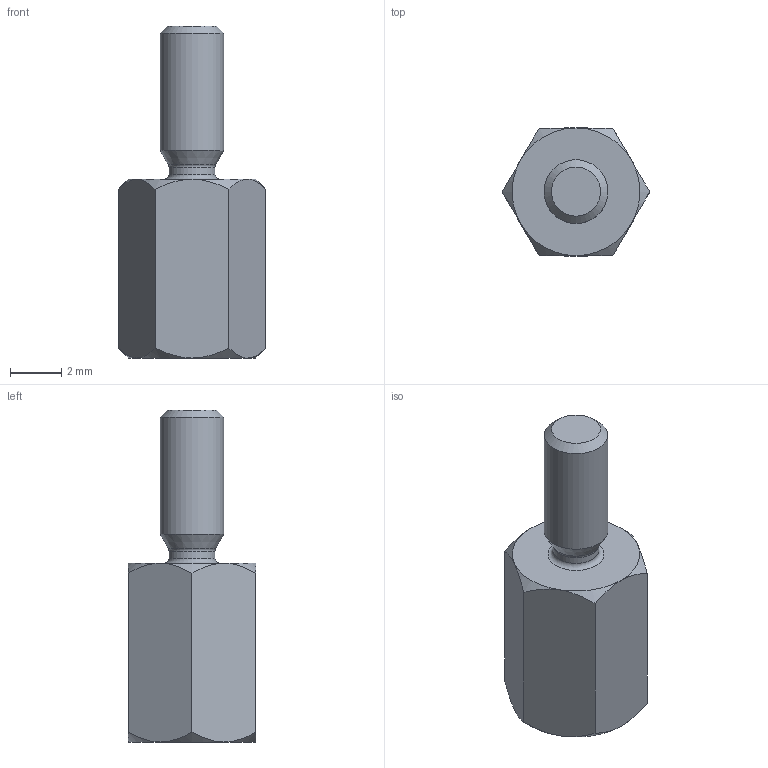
import cadquery as cq
import math


across_flats = 5.0
body_height = 7.0
side_count = 6
across_corners = across_flats / math.cos(math.pi / side_count)
flat_radius = across_flats / 2
corner_radius = across_corners / 2
corner_chamfer = corner_radius - flat_radius

stud_diameter = 2.5
stud_radius = stud_diameter / 2
stud_length = 6.0
tip_chamfer = 0.29
total_height = body_height + stud_length

undercut_diameter = 1.8
undercut_radius = undercut_diameter / 2
undercut_length = 1.125
undercut_fillet = 0.2
taper_angle = math.radians(30)
taper_height = (stud_radius - undercut_radius) / math.tan(taper_angle)


def hex_body():
    """Hexagonal prism with corners on the X axis, both ends turned down to the flats."""
    prism = cq.Workplane("XY").polygon(side_count, across_corners).extrude(body_height)
    turned_envelope = (
        cq.Workplane("XZ")
        .moveTo(0, 0)
        .lineTo(flat_radius, 0)
        .lineTo(corner_radius, corner_chamfer)
        .lineTo(corner_radius, body_height - corner_chamfer)
        .lineTo(flat_radius, body_height)
        .lineTo(0, body_height)
        .close()
        .revolve(360, (0, 0, 0), (0, 1, 0))
    )
    return prism.intersect(turned_envelope)


def stud():
    """Turned stud: filleted root, undercut neck, taper out to full diameter, chamfered tip."""
    root_radius = undercut_radius + undercut_fillet

    taper_top = body_height + undercut_length
    taper_bottom = taper_top - taper_height

    tangent_length = undercut_fillet * math.tan(taper_angle / 2)
    neck_top = taper_bottom - tangent_length

    def taper_fillet_point(angle):
        return (
            root_radius - undercut_fillet * math.cos(angle),
            neck_top + undercut_fillet * math.sin(angle),
        )

    neck_bottom = body_height + undercut_fillet
    arc_mid_offset = undercut_fillet * math.cos(math.pi / 4)
    root_mid = (root_radius - arc_mid_offset, neck_bottom - arc_mid_offset)

    overlap_bottom = body_height - undercut_fillet

    return (
        cq.Workplane("XZ")
        .moveTo(0, overlap_bottom)
        .lineTo(root_radius, overlap_bottom)
        .lineTo(root_radius, body_height)
        .threePointArc(root_mid, (undercut_radius, neck_bottom))
        .lineTo(undercut_radius, neck_top)
        .threePointArc(taper_fillet_point(taper_angle / 2), taper_fillet_point(taper_angle))
        .lineTo(stud_radius, taper_top)
        .lineTo(stud_radius, total_height - tip_chamfer)
        .lineTo(stud_radius - tip_chamfer, total_height)
        .lineTo(0, total_height)
        .close()
        .revolve(360, (0, 0, 0), (0, 1, 0))
    )


result = hex_body().union(stud())